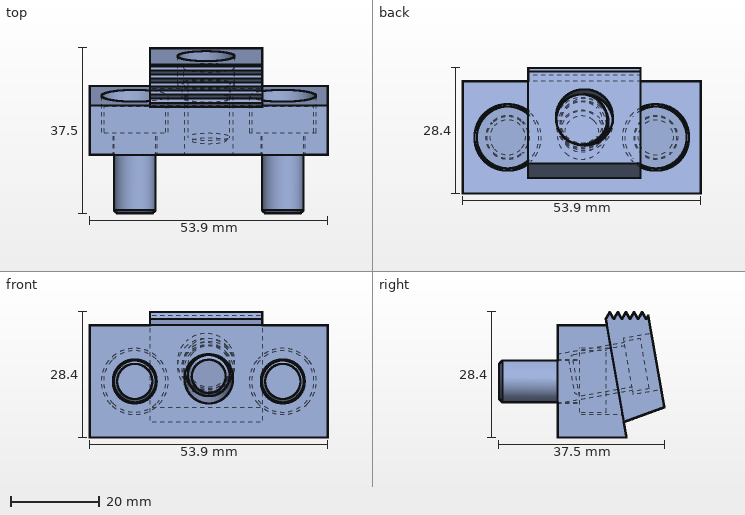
import cadquery as cq
import math

BASE_LENGTH = 53.85
BASE_HEIGHT = 25.4
BASE_BOTTOM_DEPTH = 15.6
SLOPE_ANGLE = 10.0
SLOPE_TAN = math.tan(math.radians(SLOPE_ANGLE))
SLOPE_COS = math.cos(math.radians(SLOPE_ANGLE))
SLOPE_SIN = math.sin(math.radians(SLOPE_ANGLE))
BASE_TOP_DEPTH = BASE_BOTTOM_DEPTH - BASE_HEIGHT * SLOPE_TAN

BASE_SCREW_SPACING = 33.5
BASE_SCREW_Z = BASE_HEIGHT / 2
SHANK_DIAMETER = 9.5
BASE_SCREW_HOLE_DIAMETER = 9.95
BASE_SCREW_BORE_DIAMETER = 15.1
BASE_SCREW_HEAD_DIAMETER = 14.0
BASE_SCREW_HEAD_HEIGHT = 5.9
BASE_SCREW_SEAT_Y = 5.0
BASE_SCREW_REACH = 13.25
BASE_SCREW_CHAMFER = 0.75

JAW_WIDTH = BASE_HEIGHT
JAW_X = -0.6
JAW_BACK_Y = 24.2
JAW_BACK_Z = 6.85
JAW_BOTTOM_ANGLE = 20.0
TOOTH_COUNT = 5
TOOTH_PITCH = 1.85
TOOTH_FLANK_ANGLE = 60.0
TOOTH_TAN = math.tan(math.radians(TOOTH_FLANK_ANGLE))
TOOTH_TIP_Z = 28.45
TOOTH_ROOT_Z = TOOTH_TIP_Z - TOOTH_PITCH / 2 * TOOTH_TAN

CLAMP_AXIS_Z = 13.3
CLAMP_HOLE_DIAMETER = 11.0
CLAMP_BORE_DIAMETER = 12.9
CLAMP_BORE_DEPTH = 6.45
CLAMP_HEAD_DIAMETER = 11.5
CLAMP_HEAD_HEIGHT = 3.75
CLAMP_TIP_DISTANCE = 3.25
CLAMP_CHAMFER = 0.9
JAW_BACK_DISTANCE = (JAW_BACK_Y + (JAW_BACK_Z - CLAMP_AXIS_Z) * SLOPE_TAN) * SLOPE_COS
CLAMP_SEAT_DISTANCE = JAW_BACK_DISTANCE - CLAMP_BORE_DEPTH

CUT_MARGIN = 5.4


def slope_y(z):
    """Y of the sloping contact face at height z."""
    return BASE_BOTTOM_DEPTH - z * SLOPE_TAN


def cylinder_along_y(x, z, diameter, start, end):
    """Cylinder parallel to Y, between Y = start and Y = end."""
    plane = cq.Plane(origin=(x, start, z), xDir=(1, 0, 0), normal=(0, 1, 0))
    return cq.Workplane(plane).circle(diameter / 2).extrude(end - start)


def cylinder_along_clamp(x, diameter, start, end):
    """Cylinder along the clamp axis, between two distances from Y = 0."""
    origin = (x, start * SLOPE_COS, CLAMP_AXIS_Z + start * SLOPE_SIN)
    plane = cq.Plane(origin=origin, xDir=(1, 0, 0), normal=(0, SLOPE_COS, SLOPE_SIN))
    return cq.Workplane(plane).circle(diameter / 2).extrude(end - start)


def extrude_profile(points, width, x):
    """Prism with a Y-Z outline, centred at x."""
    return cq.Workplane("YZ").polyline(points).close().extrude(width / 2, both=True).translate((x, 0, 0))


def make_base():
    """Wedge block with two counterbored screw holes and a tilted clamp hole."""
    outline = [(0, 0), (BASE_BOTTOM_DEPTH, 0), (BASE_TOP_DEPTH, BASE_HEIGHT), (0, BASE_HEIGHT)]
    base = extrude_profile(outline, BASE_LENGTH, 0)
    back = BASE_BOTTOM_DEPTH + CUT_MARGIN
    for x in base_screw_positions:
        base = base.cut(cylinder_along_y(x, BASE_SCREW_Z, BASE_SCREW_HOLE_DIAMETER, -CUT_MARGIN, back))
        base = base.cut(cylinder_along_y(x, BASE_SCREW_Z, BASE_SCREW_BORE_DIAMETER, BASE_SCREW_SEAT_Y, back))
    return base.cut(cylinder_along_clamp(0, CLAMP_HOLE_DIAMETER, -CUT_MARGIN, JAW_BACK_DISTANCE))


def jaw_outline():
    """Slanted jaw outline, from the lower back corner round to the upper back edge."""
    bottom_tan = math.tan(math.radians(JAW_BOTTOM_ANGLE))
    bottom_run = (JAW_BACK_Y - slope_y(JAW_BACK_Z)) / (1 + bottom_tan * SLOPE_TAN)
    points = [(JAW_BACK_Y, JAW_BACK_Z), (JAW_BACK_Y - bottom_run, JAW_BACK_Z - bottom_run * bottom_tan)]

    root_y = slope_y(TOOTH_ROOT_Z)
    points.append((root_y, TOOTH_ROOT_Z))
    for _ in range(TOOTH_COUNT):
        points.append((root_y + TOOTH_PITCH / 2, TOOTH_TIP_Z))
        root_y += TOOTH_PITCH
        points.append((root_y, TOOTH_ROOT_Z))

    back_y_at_root = JAW_BACK_Y - (TOOTH_ROOT_Z - JAW_BACK_Z) * SLOPE_TAN
    last_run = (back_y_at_root - root_y) / (1 + TOOTH_TAN * SLOPE_TAN)
    points.append((root_y + last_run, TOOTH_ROOT_Z + last_run * TOOTH_TAN))
    return points


def make_jaw():
    """Toothed jaw with a counterbored clamp hole."""
    jaw = extrude_profile(jaw_outline(), JAW_WIDTH, JAW_X)
    back = JAW_BACK_DISTANCE + CUT_MARGIN
    jaw = jaw.cut(cylinder_along_clamp(JAW_X, CLAMP_HOLE_DIAMETER, 0, back))
    return jaw.cut(cylinder_along_clamp(JAW_X, CLAMP_BORE_DIAMETER, CLAMP_SEAT_DISTANCE, back))


def make_base_screw(x):
    """Headed screw seated in the base, its chamfered end standing out in front."""
    shank = cylinder_along_y(x, BASE_SCREW_Z, SHANK_DIAMETER, -BASE_SCREW_REACH, BASE_SCREW_SEAT_Y)
    shank = shank.faces("<Y").chamfer(BASE_SCREW_CHAMFER)
    head_end = BASE_SCREW_SEAT_Y + BASE_SCREW_HEAD_HEIGHT
    head = cylinder_along_y(x, BASE_SCREW_Z, BASE_SCREW_HEAD_DIAMETER, BASE_SCREW_SEAT_Y, head_end)
    return shank.union(head)


def make_clamp_screw():
    """Headed screw seated in the jaw, its chamfered tip inside the base."""
    shank = cylinder_along_clamp(0, SHANK_DIAMETER, CLAMP_TIP_DISTANCE, CLAMP_SEAT_DISTANCE)
    shank = shank.faces("<Y").chamfer(CLAMP_CHAMFER)
    head_end = CLAMP_SEAT_DISTANCE + CLAMP_HEAD_HEIGHT
    head = cylinder_along_clamp(0, CLAMP_HEAD_DIAMETER, CLAMP_SEAT_DISTANCE, head_end)
    return shank.union(head)


base_screw_positions = [-BASE_SCREW_SPACING / 2, BASE_SCREW_SPACING / 2]
base = make_base()
jaw = make_jaw()
base_screws = [make_base_screw(x) for x in base_screw_positions]
clamp_screw = make_clamp_screw()

result = cq.Compound.makeCompound(
    [base.val(), jaw.val(), clamp_screw.val(), *[screw.val() for screw in base_screws]]
)